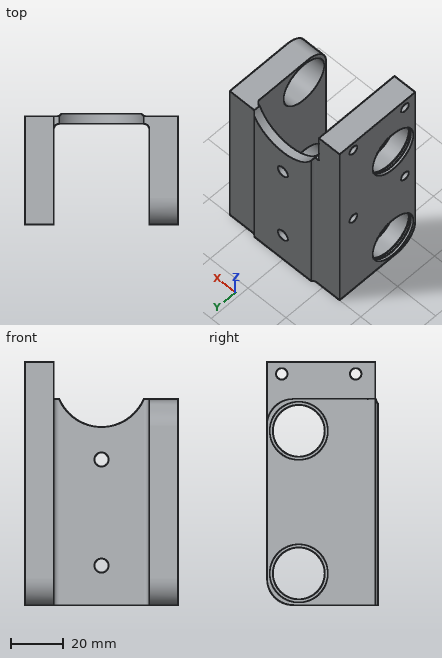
import cadquery as cq
import math

width = 58.0
depth = 42.0
tall_height = 92.0
short_height = 78.0

plate_thickness = 10.95
pad_rise = 1.0
plate_depth = depth - pad_rise
corner_radius = 10.0
web_thickness = 4.0
web_front = depth - web_thickness
inner_half_width = width / 2 - plate_thickness
inner_fillet = 2.0

pad_half_width = 15.1
flank_radius = 2.0

cutout_radius = 17.4
cutout_bottom = 67.4

bore_y = 12.05
bore_heights = (12.05, 66.0)
bore_diameter = 22.0
lip_diameter = 19.5
lip_thickness = 1.4
groove_diameter = 23.0
groove_offset = 1.4
groove_width = 1.1

mount_diameter = 4.2
mount_ys = (5.6, 33.6)
mount_heights = (44.5, 87.5)
web_hole_diameter = 5.2
web_hole_heights = (15.0, 55.1)


def side_plate(x_start, height, rounded_edges):
    """Upright plate with the selected front corners rounded."""
    plate = cq.Workplane("XY").box(plate_thickness, plate_depth, height, centered=False)
    plate = plate.edges(rounded_edges).fillet(corner_radius)
    return plate.translate((x_start, 0, 0))


def web():
    """Back wall with filleted inside corners and a raised, concave-sided pad."""
    flank_angle = math.acos(1 - pad_rise / flank_radius)
    flank_start = pad_half_width + flank_radius * math.sin(flank_angle)
    mid_x = flank_start - flank_radius * math.sin(flank_angle / 2)
    mid_y = plate_depth + flank_radius * (1 - math.cos(flank_angle / 2))
    fillet_x = inner_half_width - inner_fillet
    fillet_y = web_front - inner_fillet
    fillet_mid = inner_fillet * math.sqrt(0.5)
    return (
        cq.Workplane("XY")
        .moveTo(-inner_half_width, plate_depth)
        .lineTo(-flank_start, plate_depth)
        .threePointArc((-mid_x, mid_y), (-pad_half_width, depth))
        .lineTo(pad_half_width, depth)
        .threePointArc((mid_x, mid_y), (flank_start, plate_depth))
        .lineTo(inner_half_width, plate_depth)
        .lineTo(inner_half_width, fillet_y)
        .threePointArc((fillet_x + fillet_mid, fillet_y + fillet_mid), (fillet_x, web_front))
        .lineTo(-fillet_x, web_front)
        .threePointArc((-fillet_x - fillet_mid, fillet_y + fillet_mid), (-inner_half_width, fillet_y))
        .close()
        .extrude(short_height)
    )


def cylinder_x(diameter, x_start, length, y, z):
    """Cylinder running in the +X direction."""
    start = cq.Vector(x_start, y, z)
    return cq.Workplane(cq.Solid.makeCylinder(diameter / 2, length, start, cq.Vector(1, 0, 0)))


def cylinder_y(diameter, z):
    """Cylinder on the centre plane, running in +Y from ahead of the web past its back."""
    start = cq.Vector(0, web_front - inner_fillet, z)
    return cq.Workplane(cq.Solid.makeCylinder(diameter / 2, depth, start, cq.Vector(0, 1, 0)))


left_face = -width / 2
right_inner_face = inner_half_width

result = side_plate(left_face, tall_height, "|X and <Y and <Z")
result = result.union(side_plate(right_inner_face, short_height, "|X and <Y"))

trimmed_web = web().cut(cylinder_y(2 * cutout_radius, cutout_bottom + cutout_radius))
for hole_z in web_hole_heights:
    trimmed_web = trimmed_web.cut(cylinder_y(web_hole_diameter, hole_z))
result = result.union(trimmed_web)

for bore_z in bore_heights:
    seat_depth = plate_thickness - lip_thickness
    result = result.cut(cylinder_x(bore_diameter, left_face, seat_depth, bore_y, bore_z))
    result = result.cut(cylinder_x(lip_diameter, left_face, plate_thickness, bore_y, bore_z))
    result = result.cut(cylinder_x(groove_diameter, left_face + groove_offset, groove_width, bore_y, bore_z))
    result = result.cut(cylinder_x(bore_diameter, right_inner_face, plate_thickness, bore_y, bore_z))

for mount_y in mount_ys:
    for mount_z in mount_heights:
        result = result.cut(cylinder_x(mount_diameter, left_face, plate_thickness, mount_y, mount_z))